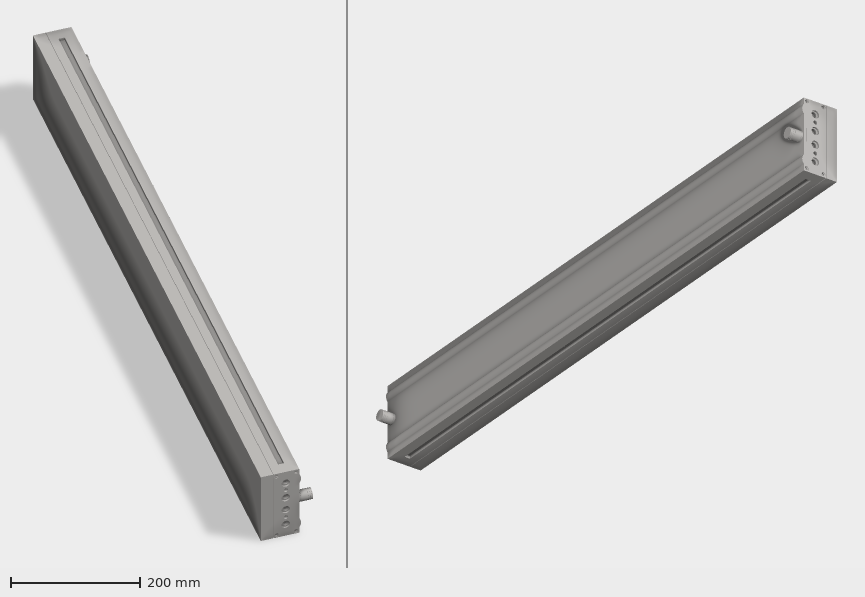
import cadquery as cq

LENGTH = 1108.0
HEIGHT = 130.0
DEPTH = 86.2

COVER_DEPTH = 21.0
BACK_Y = 62.9
RAIL_HEIGHT = 3.1
HOUSING_DEPTH = BACK_Y - COVER_DEPTH

GAP_WIDTH = 1.0
GAP_DEPTH = 1.0

CAP_LENGTH = 20.5
PROFILE_LENGTH = LENGTH - 2 * CAP_LENGTH

RAIL_WIDTH = 17.0
RAIL_OFFSET = 45.0

SLOT_FRONT_Y = 35.0
SLOT_BACK_Y = 45.0
SLOT_DEPTH = 5.0

SCREW_INSET = 5.0
SCREW_HEAD_DIAMETER = 8.0
SCREW_SOCKET_DIAMETER = 5.0
SCREW_RECESS_DEPTH = 1.0
SCREW_SOCKET_DEPTH = 3.0

HOLE_Y = 41.0
LARGE_HOLE_HEIGHTS = (12.2, 42.0)
SMALL_HOLE_HEIGHT = 27.5
LARGE_HOLE_DIAMETER = 14.0
LARGE_HOLE_DEPTH = 3.0
BORE_DIAMETER = 9.5
BORE_DEPTH = 8.0
BORE_SHIFT = 1.0
SMALL_HOLE_DIAMETER = 7.0
SMALL_HOLE_DEPTH = 6.0

SLIT_Y = 57.5
SLIT_LENGTH = 24.0
SLIT_WIDTH = 0.4
SLIT_DEPTH = 1.0

CONNECTOR_DIAMETER = 19.0
CONNECTOR_INSET = 11.5
GROOVE_DEPTH = 0.5
GROOVE_WIDTH = 1.0
THREAD_GROOVE_COUNT = 3
THREAD_PITCH = 3.0
THREAD_START = 1.5
COLLAR_GROOVE_Y = BACK_Y + 2.8


def cylinder_along_y(diameter, start_y, length, x):
    """Cylinder standing on the plane y = start_y and growing towards +Y."""
    return cq.Workplane(cq.Solid.makeCylinder(
        diameter / 2, length, cq.Vector(x, start_y, 0), cq.Vector(0, 1, 0)))


def cylinder_into_end(diameter, depth, y, z):
    """Cylinder going in from the -X end face."""
    return cq.Workplane(cq.Solid.makeCylinder(
        diameter / 2, depth, cq.Vector(-LENGTH / 2, y, z), cq.Vector(1, 0, 0)))


def housing_section(start_x, length):
    """Stretch of the rectangular housing with its two rounded back rails."""
    body = cq.Workplane("XY").box(length, HOUSING_DEPTH, HEIGHT, centered=False)
    body = body.translate((start_x, COVER_DEPTH, -HEIGHT / 2))
    for side in (-1, 1):
        rail = (
            cq.Workplane("YZ", origin=(start_x, 0, 0))
            .moveTo(BACK_Y, side * RAIL_OFFSET - RAIL_WIDTH / 2)
            .threePointArc(
                (BACK_Y + RAIL_HEIGHT, side * RAIL_OFFSET),
                (BACK_Y, side * RAIL_OFFSET + RAIL_WIDTH / 2),
            )
            .close()
            .extrude(length)
        )
        body = body.union(rail)
    return body


def make_cover():
    """Flat front cover over the whole length, stepped in where it meets the housing."""
    cover = cq.Workplane("XY").box(LENGTH, COVER_DEPTH - GAP_WIDTH, HEIGHT)
    cover = cover.translate((0, (COVER_DEPTH - GAP_WIDTH) / 2, 0))
    seat = cq.Workplane("XY").box(LENGTH - 2 * GAP_DEPTH, GAP_WIDTH, HEIGHT - 2 * GAP_DEPTH)
    return cover.union(seat.translate((0, COVER_DEPTH - GAP_WIDTH / 2, 0)))


def make_profile():
    """Housing profile between the caps, with a slot along its top and bottom."""
    profile = housing_section(-PROFILE_LENGTH / 2, PROFILE_LENGTH)
    slot_width = SLOT_BACK_Y - SLOT_FRONT_Y
    slot_y = (SLOT_BACK_Y + SLOT_FRONT_Y) / 2
    for side in (-1, 1):
        slot = cq.Workplane("XY").box(PROFILE_LENGTH, slot_width, SLOT_DEPTH)
        profile = profile.cut(slot.translate((0, slot_y, side * (HEIGHT - SLOT_DEPTH) / 2)))
    return profile


def make_connector():
    """Round connector of the -X cap, with grooves around it."""
    x = -LENGTH / 2 + CONNECTOR_INSET
    connector = cylinder_along_y(CONNECTOR_DIAMETER, BACK_Y, DEPTH - BACK_Y, x)
    groove_starts = [COLLAR_GROOVE_Y]
    for index in range(THREAD_GROOVE_COUNT):
        groove_starts.append(DEPTH - GROOVE_WIDTH - THREAD_START - index * THREAD_PITCH)
    for start_y in groove_starts:
        core = cylinder_along_y(CONNECTOR_DIAMETER - 2 * GROOVE_DEPTH, start_y, GROOVE_WIDTH, x)
        ring = cylinder_along_y(CONNECTOR_DIAMETER, start_y, GROOVE_WIDTH, x).cut(core)
        connector = connector.cut(ring)
    return connector


def make_cap():
    """End cap at the -X end, with its connector, screw recesses and fixing holes."""
    cap = housing_section(-LENGTH / 2, CAP_LENGTH).union(make_connector())
    for side in (-1, 1):
        screw_z = side * (HEIGHT / 2 - SCREW_INSET)
        for screw_y in (COVER_DEPTH + SCREW_INSET, BACK_Y - SCREW_INSET):
            cap = cap.cut(cylinder_into_end(SCREW_HEAD_DIAMETER, SCREW_RECESS_DEPTH, screw_y, screw_z))
            cap = cap.cut(cylinder_into_end(SCREW_SOCKET_DIAMETER, SCREW_SOCKET_DEPTH, screw_y, screw_z))
        for height in LARGE_HOLE_HEIGHTS:
            z = side * height
            cap = cap.cut(cylinder_into_end(LARGE_HOLE_DIAMETER, LARGE_HOLE_DEPTH, HOLE_Y, z))
            cap = cap.cut(cylinder_into_end(BORE_DIAMETER, BORE_DEPTH, HOLE_Y + BORE_SHIFT, z))
        cap = cap.cut(cylinder_into_end(
            SMALL_HOLE_DIAMETER, SMALL_HOLE_DEPTH, HOLE_Y, side * SMALL_HOLE_HEIGHT))
    slit = cq.Workplane("XY").box(SLIT_DEPTH, SLIT_WIDTH, SLIT_LENGTH)
    return cap.cut(slit.translate((-(LENGTH - SLIT_DEPTH) / 2, SLIT_Y, 0)))


cover = make_cover()
profile = make_profile()
left_cap = make_cap()
right_cap = left_cap.mirror("YZ")

result = cq.Compound.makeCompound([cover.val(), profile.val(), left_cap.val(), right_cap.val()])